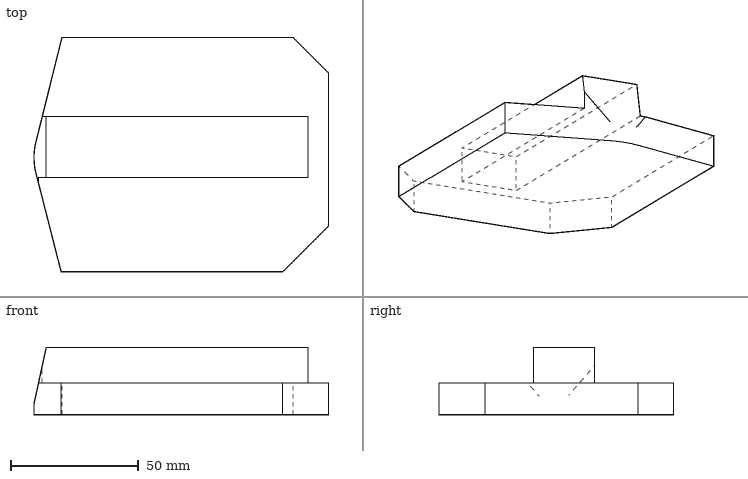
import cadquery as cq
import math

length = 115.55
width = 92.0
plate_thickness = 12.6
nose_to_left_side = 47.1
left_side_y = nose_to_left_side
right_side_y = nose_to_left_side - width

nose_radius = 50.2 / 2
left_sweep = math.radians(14.0)
right_sweep = math.radians(14.3)

left_corner_cut = 14.0
right_corner_cut = 18.0

total_height = 26.5
ridge_width = 24.0
ridge_left_gap = 31.0
ridge_left_y = left_side_y - ridge_left_gap
ridge_back_gap = 8.0

slope_bottom_z = 4.4
slope_setback = 4.8


def nose_tangent(sweep):
    """Setback and side offset where the nose round meets an edge swept back by the given angle."""
    return nose_radius * (1 - math.cos(sweep)), nose_radius * math.sin(sweep)


def plate_outline():
    """Closed plan outline of the plate."""
    left_round_x, left_round_y = nose_tangent(left_sweep)
    right_round_x, right_round_y = nose_tangent(right_sweep)
    left_front_x = left_round_x + (left_side_y - left_round_y) * math.tan(left_sweep)
    right_front_x = right_round_x + (-right_side_y - right_round_y) * math.tan(right_sweep)
    return (
        cq.Workplane("XY")
        .moveTo(right_round_x, -right_round_y)
        .threePointArc((0, 0), (left_round_x, left_round_y))
        .lineTo(left_front_x, left_side_y)
        .lineTo(length - left_corner_cut, left_side_y)
        .lineTo(length, left_side_y - left_corner_cut)
        .lineTo(length, right_side_y + right_corner_cut)
        .lineTo(length - right_corner_cut, right_side_y)
        .lineTo(right_front_x, right_side_y)
        .close()
    )


def ridge():
    """Full-height bar whose front end follows the nose outline."""
    bar = (
        cq.Workplane("XY", origin=(0, ridge_left_y - ridge_width, 0))
        .box(length - ridge_back_gap, ridge_width, total_height, centered=False)
    )
    return plate_outline().extrude(total_height).intersect(bar)


def front_slope_cutter():
    """Wedge in front of the sloping face, spanning the whole width."""
    return (
        cq.Workplane("XZ", origin=(0, left_side_y, 0))
        .moveTo(0, slope_bottom_z)
        .lineTo(slope_setback, total_height)
        .lineTo(0, total_height)
        .close()
        .extrude(width)
    )


plate = plate_outline().extrude(plate_thickness)
result = plate.union(ridge()).cut(front_slope_cutter())